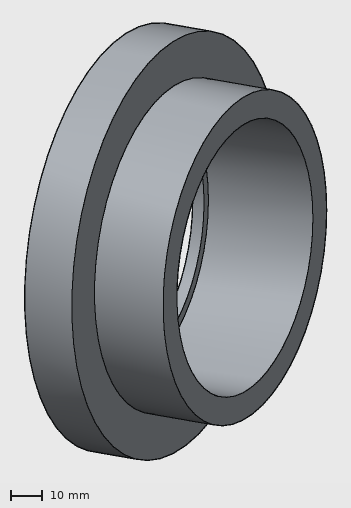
import cadquery as cq

total_length = 42.0
flange_diameter = 138.0
flange_thickness = 17.1
hub_diameter = 108.0
lip_diameter = 83.9
lip_length = 4.1
bore_diameter = 89.7


def cylinder(diameter, start, end):
    """Solid cylinder along X between two stations."""
    return cq.Workplane("YZ", origin=(start, 0, 0)).circle(diameter / 2).extrude(end - start)


flange = cylinder(flange_diameter, 0, flange_thickness)
hub = cylinder(hub_diameter, 0, total_length)
body = flange.union(hub)

lip_opening = cylinder(lip_diameter, 0, lip_length)
main_bore = cylinder(bore_diameter, lip_length, total_length)

result = body.cut(lip_opening).cut(main_bore)